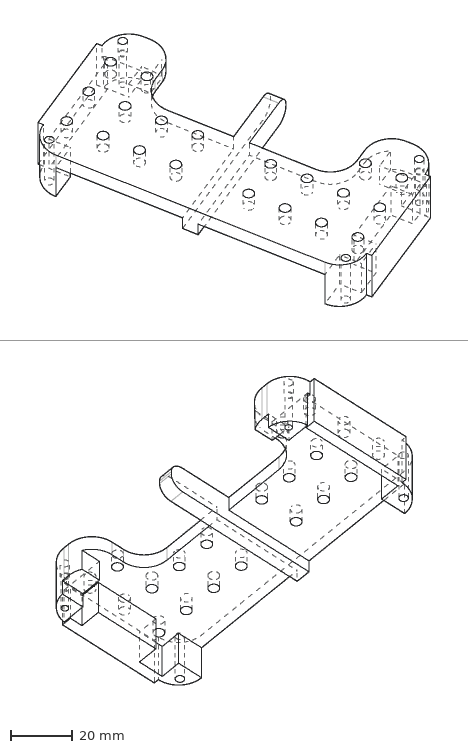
import cadquery as cq

total_length = 124.0
depth = 60.0
plate_thickness = 6.0
corner_radius = 10.0

wall_overhang = 2.0
wall_thickness = 4.0
wall_width = 40.0
wall_height = 20.0

arm_width = 22.5
notch_depth = 25.0

front_leg_size = 10.0
foot_length = 9.3
foot_depth = 8.9
foot_height = 21.0
ledge_length = 17.5
ledge_height = 14.8
pad_length = 10.0
pad_front = -10.0
pad_back = 15.0

rib_width = 5.8
rib_height = 11.0
rib_end_radius = 5.0

hole_diameter = 3.8
hole_pitch_x = 13.5
hole_pitch_y = 15.0
corner_hole_diameter = 3.1
foot_hole_diameter = 2.5
corner_hole_inset = 5.0

half_length = total_length / 2
half_plate = half_length - wall_overhang
half_depth = depth / 2


def block(x_range, y_range, height, top=0.0):
    """Box hanging from the level top down to Z = -height."""
    x0, x1 = x_range
    y0, y1 = y_range
    return (
        cq.Workplane("XY")
        .box(x1 - x0, y1 - y0, top + height, centered=False)
        .translate((x0, y0, -height))
    )


def outline(height):
    """U-shaped plate outline with every corner rounded, extruded down from Z = 0."""
    inner = half_plate - arm_width
    notch_floor = half_depth - notch_depth
    body = block((-half_plate, half_plate), (-half_depth, half_depth), height)
    notch = block((-inner, inner), (notch_floor, half_depth), height)
    return body.cut(notch).edges("|Z").fillet(corner_radius)


def mirrored(solid):
    return solid.union(solid.mirror("YZ"))


def supports():
    """Front legs and stepped rear feet, trimmed to the rounded outline."""
    rear = (half_depth - foot_depth, half_depth)
    leg = block(
        (half_plate - front_leg_size, half_plate),
        (-half_depth, -half_depth + front_leg_size),
        wall_height,
    )
    foot = block((half_plate - foot_length, half_plate), rear, foot_height)
    ledge = block((half_plate - ledge_length, half_plate), rear, ledge_height)
    return mirrored(leg.union(foot).union(ledge)).intersect(outline(foot_height))


def side_walls():
    return mirrored(
        block(
            (half_length - wall_thickness, half_length),
            (-wall_width / 2, wall_width / 2),
            wall_height,
        )
    )


def pad():
    """Pad under the right end only; it closes the bottoms of the holes above it."""
    return block(
        (half_plate - pad_length, half_plate), (pad_front, pad_back), wall_height, -plate_thickness
    )


def rib():
    beam = block((-rib_width / 2, rib_width / 2), (-half_depth, half_depth), rib_height)
    return beam.edges("|X and >Y").fillet(rib_end_radius)


def drill(points, diameter, length, top=0.0):
    return (
        cq.Workplane("XY")
        .workplane(offset=top)
        .pushPoints(points)
        .circle(diameter / 2)
        .extrude(-length)
    )


grid_points = []
for row in (-1, 0, 1):
    columns = (3, 4) if row == 1 else (1, 2, 3, 4)
    for column in columns:
        for side in (-1, 1):
            grid_points.append((side * column * hole_pitch_x, row * hole_pitch_y))

corner_x = half_plate - corner_hole_inset
corner_y = half_depth - corner_hole_inset
front_points = [(-corner_x, -corner_y), (corner_x, -corner_y)]
rear_points = [(-corner_x, corner_y), (corner_x, corner_y)]

result = (
    outline(plate_thickness)
    .union(supports())
    .union(side_walls())
    .union(pad())
    .union(rib())
    .cut(drill(grid_points, hole_diameter, plate_thickness))
    .cut(drill(front_points, corner_hole_diameter, wall_height))
    .cut(drill(rear_points, corner_hole_diameter, plate_thickness))
    .cut(drill(rear_points, foot_hole_diameter, foot_height))
)